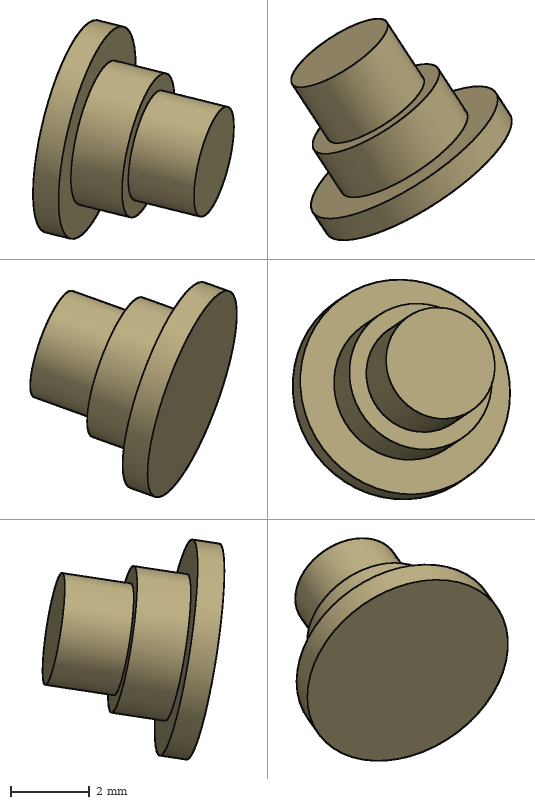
import cadquery as cq

flange_diameter = 5.6
flange_thickness = 0.7
shoulder_diameter = 3.8
shoulder_length = 1.4
pin_diameter = 2.9
overall_length = 3.9
pin_length = overall_length - flange_thickness - shoulder_length

flange = cq.Workplane("YZ").circle(flange_diameter / 2).extrude(flange_thickness)

with_shoulder = flange.faces(">X").workplane().circle(shoulder_diameter / 2).extrude(shoulder_length)

result = with_shoulder.faces(">X").workplane().circle(pin_diameter / 2).extrude(pin_length)